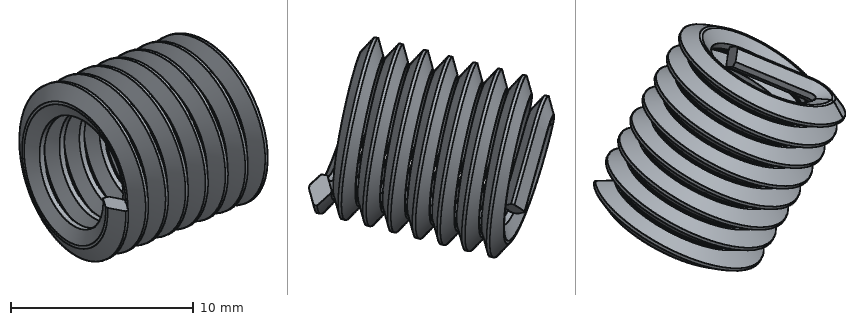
import cadquery as cq
import math

overall_length = 11.74
crest_radius = 10.15 / 2
bore_radius = 3.19
side_flat_outer_radius = 4.16
side_flat_inner_radius = 3.98
flank_slope = math.tan(math.radians(30))

pitch = 1.41
whole_turns = 7
end_angle = 20.7
turns = whole_turns + (180 - end_angle) / 360
coil_rise = pitch * turns
wire_width = overall_length - coil_rise

bend_inner_radius = 0.29
tang_slope = 9.0
tang_length = 4.73


def wire_section(plane, axis_offset):
    """Hexagonal wire section; axis_offset is the coil axis position along the plane's x."""
    half_width = wire_width / 2
    half_crest = half_width - flank_slope * (crest_radius - side_flat_outer_radius)
    half_root = half_width - flank_slope * (side_flat_inner_radius - bore_radius)
    upper_half = [
        (bore_radius, half_root),
        (side_flat_inner_radius, half_width),
        (side_flat_outer_radius, half_width),
        (crest_radius, half_crest),
    ]
    lower_half = [(radius, -y) for radius, y in reversed(upper_half)]
    points = [(radius + axis_offset, y) for radius, y in upper_half + lower_half]
    return cq.Workplane(plane).polyline(points).close()


def make_coil():
    """Sweep the section up a helix about Z, then lay the coil along +Y."""
    helix = cq.Wire.makeHelix(pitch, coil_rise, side_flat_outer_radius)
    coil = wire_section("XZ", 0).sweep(cq.Workplane(obj=helix), isFrenet=True)
    upright = coil.rotate((0, 0, 0), (1, 0, 0), -90)
    return upright.translate((0, wire_width / 2, 0))


def make_tang():
    """Bend the wire inward from the coil end, then run it straight across the bore."""
    end_radians = math.radians(end_angle)
    coil_end_direction = cq.Vector(-math.cos(end_radians), 0, -math.sin(end_radians))
    bend_centre = coil_end_direction * (bore_radius - bend_inner_radius)
    bend_centre += cq.Vector(0, wire_width / 2 + coil_rise, 0)
    axis_offset = bend_inner_radius - bore_radius

    axial = cq.Vector(0, 1, 0)
    bend_plane = cq.Plane(bend_centre, coil_end_direction, coil_end_direction.cross(axial))
    bend_angle = 90 + end_angle + tang_slope
    bend = wire_section(bend_plane, axis_offset).revolve(bend_angle, (0, 0), (0, 1))

    slope_radians = math.radians(tang_slope)
    tang_outward = cq.Vector(math.sin(slope_radians), 0, math.cos(slope_radians))
    straight_plane = cq.Plane(bend_centre, tang_outward, tang_outward.cross(axial))
    straight = wire_section(straight_plane, axis_offset).extrude(-tang_length)
    return bend.union(straight)


coil = make_coil()
tang = make_tang()
result = cq.Compound.makeCompound([coil.val(), tang.val()])